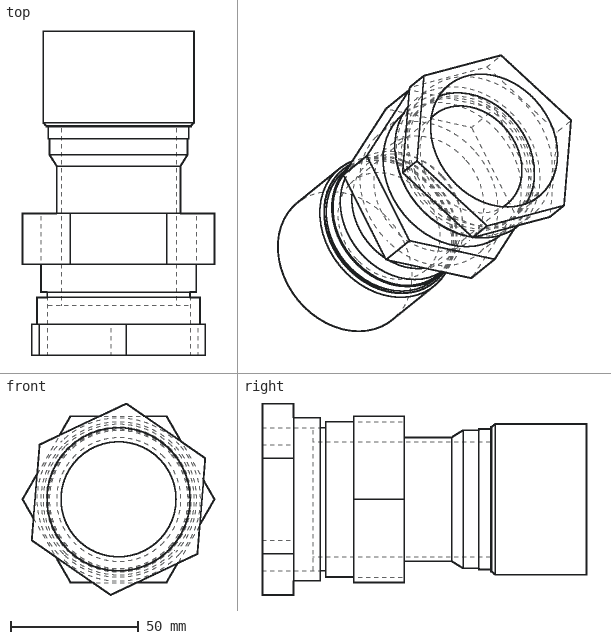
import cadquery as cq

overall_length = 126.6
hex_across_corners = 75.1

nut_hex_end = 12.2
nut_end = 22.7
nut_collar_diameter = 63.8
nut_hex_turn = 34.7

spigot_start = 19.6
spigot_diameter = 56.0
spigot_end = 24.7
shoulder_diameter = 60.8
neck_diameter = 48.5
neck_end = 73.9
cone_end = 78.4
socket_diameter = 54.0
socket_end = 84.6
seat_diameter = 55.1
adapter_bore_diameter = 45.0

ring_start = 35.6
ring_end = 55.5

tail_start = 89.3
tail_lip_end = 89.6
tail_lip_diameter = 56.7
tail_bevel_end = 90.9
tail_diameter = 59.0


def plane_at(y):
    """Sketch plane facing +Y, with its local X along +X and its local Y along -Z."""
    return cq.Workplane(cq.Plane(origin=(0, y, 0), xDir=(1, 0, 0), normal=(0, 1, 0)))


def cylinder(diameter, start, end):
    return plane_at(start).circle(diameter / 2).extrude(end - start)


def hexagon(start, end, turn=0.0):
    """Hexagonal prism with two corners on X, turned about the Y axis by turn degrees."""
    prism = plane_at(start).polygon(6, hex_across_corners).extrude(end - start)
    return prism.rotate((0, 0, 0), (0, 1, 0), turn)


def cone(start_diameter, end_diameter, start, end):
    base = plane_at(start).circle(start_diameter / 2)
    return base.workplane(offset=end - start).circle(end_diameter / 2).loft(ruled=True)


def make_swivel_nut():
    nut = hexagon(0, nut_hex_end, turn=nut_hex_turn)
    nut = nut.union(cylinder(nut_collar_diameter, nut_hex_end, nut_end))
    return nut.cut(cylinder(spigot_diameter, 0, nut_end))


def make_adapter():
    adapter = cylinder(spigot_diameter, spigot_start, spigot_end)
    adapter = adapter.union(cylinder(shoulder_diameter, spigot_end, ring_end))
    adapter = adapter.union(cylinder(neck_diameter, ring_end, neck_end))
    adapter = adapter.union(cone(neck_diameter, socket_diameter, neck_end, cone_end))
    adapter = adapter.union(cylinder(socket_diameter, cone_end, socket_end))
    adapter = adapter.union(cylinder(seat_diameter, socket_end, tail_start))
    adapter = adapter.union(make_tail())
    return adapter.cut(cylinder(adapter_bore_diameter, spigot_start, tail_start))


def make_tail():
    """Solid tail, beveled at its inner end, that closes the adapter bore."""
    tail = cylinder(tail_lip_diameter, tail_start, tail_lip_end)
    tail = tail.union(cone(tail_lip_diameter, tail_diameter, tail_lip_end, tail_bevel_end))
    return tail.union(cylinder(tail_diameter, tail_bevel_end, overall_length))


def make_hex_ring():
    ring = hexagon(ring_start, ring_end)
    return ring.cut(cylinder(shoulder_diameter, ring_start, ring_end))


swivel_nut = make_swivel_nut()
adapter = make_adapter()
hex_ring = make_hex_ring()

result = cq.Compound.makeCompound([swivel_nut.val(), adapter.val(), hex_ring.val()])